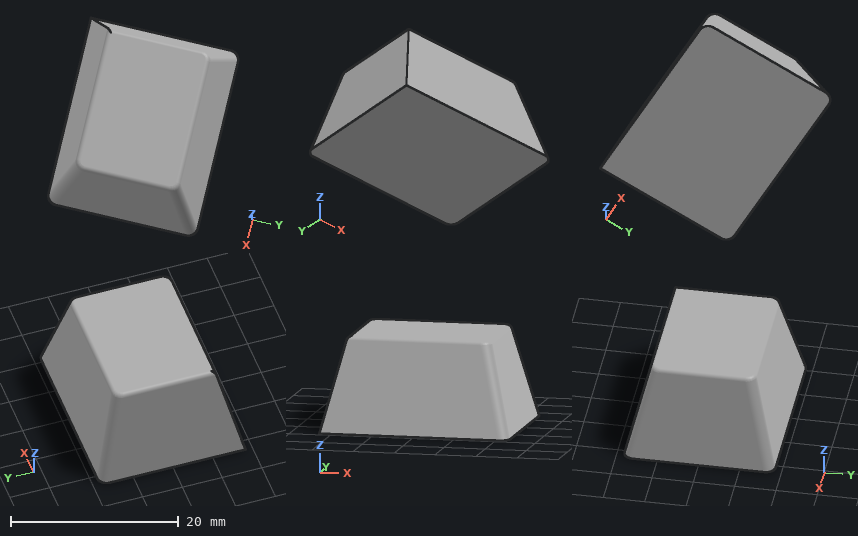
import cadquery as cq
import math

length = 23.05
width = 18.3
height = 11.4
wall_taper = 14.0

wall_edge_radius = 1.25
top_edge_radius = 0.62

body = cq.Workplane("XY").rect(length, width).extrude(height, taper=wall_taper)

mid_height = height / 2
mid_inset = mid_height * math.tan(math.radians(wall_taper))
mid_x = length / 2 - mid_inset
mid_y = width / 2 - mid_inset
for side_x, side_y in ((1, -1), (1, 1), (-1, 1)):
    edge_middle = (side_x * mid_x, side_y * mid_y, mid_height)
    sloping_edge = cq.selectors.NearestToPointSelector(edge_middle)
    body = body.edges(sloping_edge).fillet(wall_edge_radius)

result = body.faces(">Z").edges().fillet(top_edge_radius)